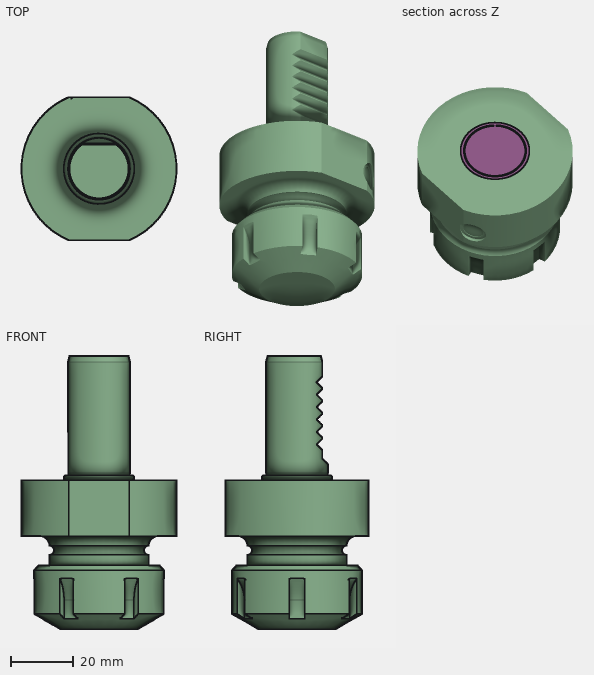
import cadquery as cq
import math

total_height = 88.0

nut_diameter = 42.0
nut_nose_diameter = 24.4
nut_nose_height = 5.0
nut_top_z = 20.6
nut_chamfer_height = 1.6
nut_chamfer_width = 1.5
spanner_slot_count = 6
spanner_slot_width = 5.0
spanner_slot_floor = 18.1
spanner_slot_runout_z = 9.5
spanner_slot_runout_radius = 10.0

neck_diameter = 32.0
neck_fillet_radius = 3.0
neck_groove_radius = 1.5

flange_diameter = 50.0
flange_across_flats = 46.0
flange_bottom_z = 30.0
flange_top_z = 48.05

recess_angle = 120.0
recess_z = 36.5
recess_diameter = 9.0
recess_floor = 24.0
recess_centre_diameter = 6.7
recess_centre_depth = 0.2

shank_diameter = 20.0
shank_taper_width = 0.48
shank_taper_height = 1.9
relief_height = 2.4
shank_start_z = flange_top_z + relief_height
relief_diameter = 19.6
ring_diameter = 22.7
ring_thickness = 1.6

flat_y = 8.2
flat_bottom_z = 54.9
tooth_count = 6
tooth_row_length = 20.0
tooth_pitch = tooth_row_length / (tooth_count - 1)
tooth_depth = 1.85
lowest_tooth_z = 59.6


def make_turned_body():
    """Nut, neck and flange as one turned body, from its half profile (radius, z)."""
    nut_radius = nut_diameter / 2
    neck_radius = neck_diameter / 2
    flange_radius = flange_diameter / 2
    groove_top_z = flange_bottom_z - neck_fillet_radius
    groove_middle_z = groove_top_z - neck_groove_radius
    groove_bottom_z = groove_middle_z - neck_groove_radius
    fillet_inset = neck_fillet_radius * (1 - math.sqrt(0.5))
    return (
        cq.Workplane("XZ")
        .lineTo(nut_nose_diameter / 2, 0)
        .lineTo(nut_radius, nut_nose_height)
        .lineTo(nut_radius, nut_top_z - nut_chamfer_height)
        .lineTo(nut_radius - nut_chamfer_width, nut_top_z)
        .lineTo(neck_radius, nut_top_z)
        .lineTo(neck_radius, groove_bottom_z)
        .threePointArc((neck_radius - neck_groove_radius, groove_middle_z), (neck_radius, groove_top_z))
        .threePointArc(
            (neck_radius + fillet_inset, flange_bottom_z - fillet_inset),
            (neck_radius + neck_fillet_radius, flange_bottom_z),
        )
        .lineTo(flange_radius, flange_bottom_z)
        .lineTo(flange_radius, flange_top_z)
        .lineTo(0, flange_top_z)
        .close()
        .revolve(360, (0, 0, 0), (0, 1, 0))
    )


def cut_flange_flats(body):
    envelope = cq.Workplane("XY").box(
        flange_diameter, flange_across_flats, total_height, centered=(True, True, False)
    )
    return body.intersect(envelope)


def cut_spanner_slots(body):
    """Slots open at the nose, with a floor that curves outwards at the upper end."""
    outside = spanner_slot_floor + spanner_slot_runout_radius
    runout_shift = spanner_slot_runout_radius * math.sqrt(0.5)
    slot = (
        cq.Workplane("XZ")
        .moveTo(spanner_slot_floor, 0)
        .lineTo(spanner_slot_floor, spanner_slot_runout_z)
        .threePointArc(
            (outside - runout_shift, spanner_slot_runout_z + runout_shift),
            (outside, spanner_slot_runout_z + spanner_slot_runout_radius),
        )
        .lineTo(outside, 0)
        .close()
        .extrude(spanner_slot_width / 2, both=True)
    )
    for index in range(spanner_slot_count):
        body = body.cut(slot.rotate((0, 0, 0), (0, 0, 1), index * 360 / spanner_slot_count))
    return body


def cut_rim_recess(body):
    angle = math.radians(recess_angle)
    outward = cq.Vector(math.cos(angle), math.sin(angle), 0)

    def radial_cylinder(diameter, floor):
        base = outward * floor + cq.Vector(0, 0, recess_z)
        return cq.Solid.makeCylinder(diameter / 2, flange_diameter / 2 - floor, base, outward)

    body = body.cut(cq.Workplane(radial_cylinder(recess_diameter, recess_floor)))
    centre_floor = recess_floor - recess_centre_depth
    return body.cut(cq.Workplane(radial_cylinder(recess_centre_diameter, centre_floor)))


def make_shank():
    """Shank with a toothed flat; the tapered end follows the flat as well."""
    shank_radius = shank_diameter / 2
    taper_start_z = total_height - shank_taper_height
    shank = (
        cq.Workplane("XY", origin=(0, 0, shank_start_z))
        .circle(shank_radius)
        .extrude(taper_start_z - shank_start_z)
    )

    flat_depth = shank_radius - flat_y
    flat = (
        cq.Workplane("YZ")
        .moveTo(flat_y, flat_bottom_z)
        .lineTo(shank_radius, flat_bottom_z - flat_depth)
        .lineTo(shank_radius, total_height)
        .lineTo(flat_y, total_height)
        .close()
        .extrude(shank_radius, both=True)
    )
    shank = shank.cut(flat)
    taper_angle = math.degrees(math.atan(shank_taper_width / shank_taper_height))
    shank = shank.faces(">Z").wires().toPending().extrude(shank_taper_height, taper=taper_angle)

    for index in range(tooth_count):
        root_z = lowest_tooth_z + index * tooth_pitch
        notch = (
            cq.Workplane("YZ")
            .moveTo(flat_y - tooth_depth, root_z)
            .lineTo(flat_y, root_z - tooth_depth)
            .lineTo(flat_y, root_z + tooth_depth)
            .close()
            .extrude(shank_radius, both=True)
        )
        shank = shank.cut(notch)
    return shank


def make_shank_foot():
    """Foot of the shank, tapering down to the relief diameter at mid-height of the ring."""
    relief_radius = relief_diameter / 2
    return (
        cq.Workplane("XZ")
        .moveTo(0, flange_top_z)
        .lineTo(relief_radius, flange_top_z)
        .lineTo(relief_radius, flange_top_z + ring_thickness / 2)
        .lineTo(shank_diameter / 2, shank_start_z)
        .lineTo(0, shank_start_z)
        .close()
        .revolve(360, (0, 0, 0), (0, 1, 0))
    )


def make_ring():
    """Round ring lying on the flange around the foot of the shank."""
    middle_radius = (ring_diameter - ring_thickness) / 2
    middle_z = flange_top_z + ring_thickness / 2
    return (
        cq.Workplane("XZ")
        .moveTo(middle_radius, middle_z)
        .circle(ring_thickness / 2)
        .revolve(360, (0, 0, 0), (0, 1, 0))
    )


body = make_turned_body()
body = cut_flange_flats(body)
body = cut_spanner_slots(body)
body = cut_rim_recess(body)
result = body.union(make_shank_foot()).union(make_ring()).union(make_shank())